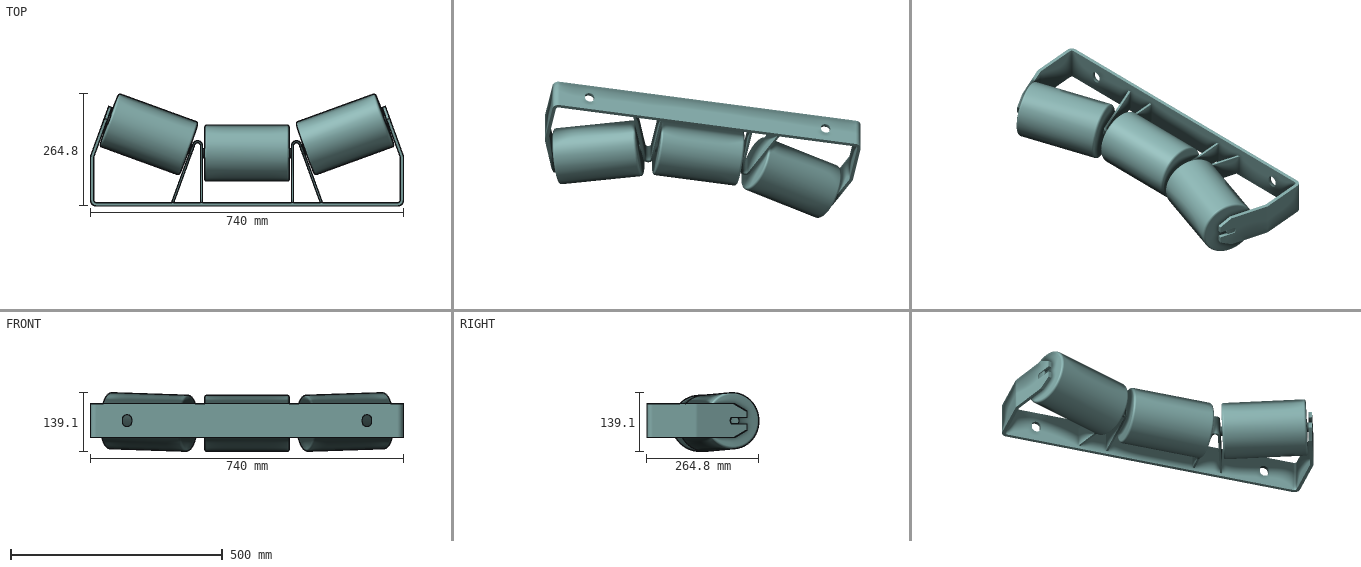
import cadquery as cq
import math

frame_width = 740.0
frame_height = 80.0
strip_thickness = 8.0
bend_radius = 14.0
side_bend_y = 117.0
lean_length = 125.0
lean_angle = 20.0
tip_chamfer_length = 30.0
tip_chamfer_height = 17.0
slot_width = 15.0

fixing_slot_x = 283.5
fixing_slot_width = 22.0
fixing_slot_height = 28.0

bracket_thickness = 5.0
bracket_height = 50.0
bracket_bend_radius = 12.0
bracket_offset_z = -6.3

roller_diameter = 133.0
roller_length = 200.0
roller_fillet = 5.0
end_gap = 5.0
shaft_diameter = 22.0
shaft_flat_width = 14.0
shaft_collar_length = 4.5
middle_roller_y = 125.0
wing_roller_x = 231.5
wing_roller_y = 169.5

lean = math.radians(lean_angle)
face_distance = roller_length / 2 + end_gap
shaft_length = 2 * (face_distance + bracket_thickness)
wing_tilt = math.degrees(math.asin(-bracket_offset_z / roller_length))
side_x = (frame_width - strip_thickness) / 2
base_y = strip_thickness / 2
tip_x = side_x - lean_length * math.sin(lean)
tip_y = side_bend_y + lean_length * math.cos(lean)
axis_to_tip = (wing_roller_x - tip_x) * math.sin(lean) + (tip_y - wing_roller_y) * math.cos(lean)
slot_depth = axis_to_tip + shaft_diameter / 2


def bent_strip(points, thickness, height, outer_radius):
    """Sweep a flat strip, standing in Z, along a bent centre line that starts at the first point."""
    corners = [cq.Vector(x, y, 0) for x, y in points]
    path = cq.Wire.makePolygon(corners).fillet(outer_radius - thickness / 2)
    start_plane = cq.Plane(origin=corners[0], xDir=(0, 0, 1), normal=corners[1] - corners[0])
    return cq.Workplane(start_plane).rect(height, thickness).sweep(cq.Workplane(path))


def make_tip_cutter():
    """Cutter for the left leaning tip: two corner chamfers and the open shaft slot."""
    tip_plane = cq.Plane(
        origin=(-tip_x, tip_y, 0),
        xDir=(math.sin(lean), math.cos(lean), 0),
        normal=(-math.cos(lean), math.sin(lean), 0),
    )
    cutter = cq.Workplane(tip_plane)
    half = frame_height / 2
    chamfer = (
        cutter.moveTo(-tip_chamfer_length, half)
        .lineTo(0, half)
        .lineTo(0, half - tip_chamfer_height)
        .close()
        .extrude(strip_thickness, both=True)
    )
    bottom_radius = shaft_diameter / 2
    shoulder = bottom_radius - math.sqrt(bottom_radius**2 - (slot_width / 2) ** 2)
    slot = (
        cutter.moveTo(0, slot_width / 2)
        .lineTo(shoulder - slot_depth, slot_width / 2)
        .threePointArc((-slot_depth, 0), (shoulder - slot_depth, -slot_width / 2))
        .lineTo(0, -slot_width / 2)
        .close()
        .extrude(strip_thickness, both=True)
    )
    return slot.union(chamfer).union(chamfer.mirror("XY"))


def make_frame_strip():
    """Base and sides in one bent strip, with slotted tips and two fixing slots."""
    strip = bent_strip(
        [
            (-tip_x, tip_y),
            (-side_x, side_bend_y),
            (-side_x, base_y),
            (side_x, base_y),
            (side_x, side_bend_y),
            (tip_x, tip_y),
        ],
        strip_thickness,
        frame_height,
        bend_radius,
    )
    tip_cutter = make_tip_cutter()
    fixing_slots = (
        cq.Workplane("XZ")
        .pushPoints([(-fixing_slot_x, 0), (fixing_slot_x, 0)])
        .slot2D(fixing_slot_height, fixing_slot_width, 90)
        .extrude(-strip_thickness)
    )
    return strip.cut(tip_cutter).cut(tip_cutter.mirror("YZ")).cut(fixing_slots)


def make_left_bracket():
    """Folded plate: one leg square to the middle roller, one square to the left roller."""
    middle_distance = face_distance + bracket_thickness / 2
    leg_x = -wing_roller_x - wing_roller_y * math.tan(lean) + middle_distance / math.cos(lean)
    apex_y = (-middle_distance - leg_x) / math.tan(lean)
    bracket = bent_strip(
        [
            (-middle_distance, base_y),
            (-middle_distance, apex_y),
            (leg_x + base_y * math.tan(lean), base_y),
        ],
        bracket_thickness,
        bracket_height,
        bracket_bend_radius,
    )
    return bracket.translate((0, 0, bracket_offset_z))


def cylinder_along_x(diameter, length):
    """Cylinder along X, centred on the origin."""
    return cq.Workplane("YZ", origin=(-length / 2, 0, 0)).circle(diameter / 2).extrude(length)


def make_roller():
    """Roller along X, centred on the origin, with a round collar and a flattened shaft at each end."""
    shell = cylinder_along_x(roller_diameter, roller_length).edges("%CIRCLE").fillet(roller_fillet)
    collar = cylinder_along_x(shaft_diameter, roller_length + 2 * shaft_collar_length)
    flats = cq.Workplane("XY").box(shaft_length, shaft_diameter, shaft_flat_width)
    shaft = cylinder_along_x(shaft_diameter, shaft_length).intersect(flats)
    return shell.union(collar).union(shaft)


def make_left_wing_roller():
    """Roller lifted at its outer end and tilted from the bracket up to the frame slot."""
    return (
        make_roller()
        .rotate((0, 0, 0), (0, 1, 0), wing_tilt)
        .rotate((0, 0, 0), (0, 0, 1), -lean_angle)
        .translate((-wing_roller_x, wing_roller_y, bracket_offset_z / 2))
    )


left_wing_roller = make_left_wing_roller()
wing_rollers = [left_wing_roller, left_wing_roller.mirror("YZ")]

left_bracket = make_left_bracket()
middle_roller = make_roller().translate((0, middle_roller_y, bracket_offset_z))
frame = make_frame_strip().union(left_bracket).union(left_bracket.mirror("YZ")).union(middle_roller)
for wing_roller in wing_rollers:
    frame = frame.cut(wing_roller)

result = cq.Compound.makeCompound([frame.val(), *[roller.val() for roller in wing_rollers]])